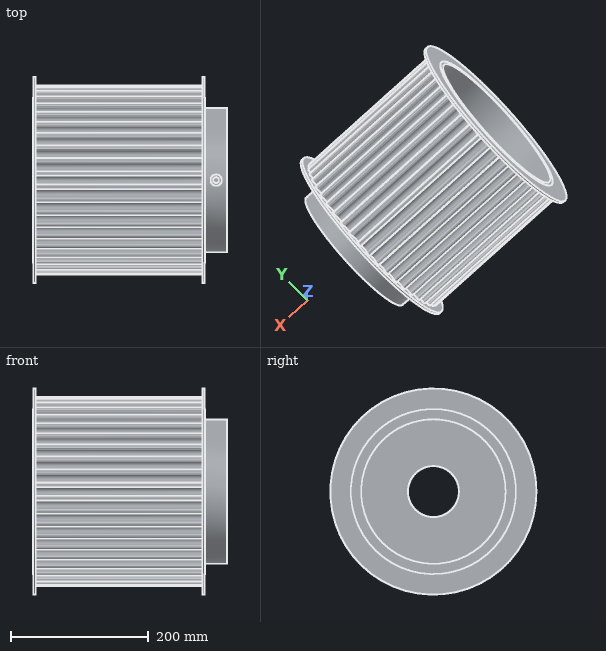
import cadquery as cq
import math

overall_length = 282.5
rim_length = 250.5
flange_thickness = 4.0
shoulder_height = 0.5
recess_depth = 65.7

flange_diameter = 300.0
tooth_tip_diameter = 275.7
shoulder_diameter = 240.0
recess_diameter = 228.5
hub_diameter = 210.0
bore_diameter = 73.8

tooth_count = 44
groove_radius = 6.3
groove_centre_distance = 135.0
tooth_tip_fillet = 1.2

screw_diameter = 16.5
socket_across_flats = 8.0
socket_depth = 8.0


def disc(start, end, diameter):
    """Solid cylinder along X between two axial positions."""
    return cq.Workplane("YZ", origin=(start, 0, 0)).circle(diameter / 2).extrude(end - start)


def belt_grooves(start, end):
    """Ring of cutters, each a U-shaped groove with rounded mouth corners."""
    tip_radius = tooth_tip_diameter / 2
    arc_centre_y = groove_radius + tooth_tip_fillet
    arc_centre_z = math.sqrt((tip_radius - tooth_tip_fillet) ** 2 - arc_centre_y ** 2)
    tip_scale = tip_radius / (tip_radius - tooth_tip_fillet)
    mouth_y = arc_centre_y * tip_scale
    mouth_z = arc_centre_z * tip_scale
    arc_mid_angle = (math.pi + math.atan2(mouth_z, mouth_y)) / 2
    arc_mid_y = arc_centre_y + tooth_tip_fillet * math.cos(arc_mid_angle)
    arc_mid_z = arc_centre_z + tooth_tip_fillet * math.sin(arc_mid_angle)
    outside_z = flange_diameter / 2

    cutter = (
        cq.Workplane("YZ", origin=(start, 0, 0))
        .moveTo(-groove_radius, groove_centre_distance)
        .threePointArc((0, groove_centre_distance - groove_radius), (groove_radius, groove_centre_distance))
        .lineTo(groove_radius, arc_centre_z)
        .threePointArc((arc_mid_y, arc_mid_z), (mouth_y, mouth_z))
        .lineTo(mouth_y, outside_z)
        .lineTo(-mouth_y, outside_z)
        .lineTo(-mouth_y, mouth_z)
        .threePointArc((-arc_mid_y, arc_mid_z), (-groove_radius, arc_centre_z))
        .close()
        .extrude(end - start)
        .val()
    )
    pitch_angle = 360 / tooth_count
    axis_start = cq.Vector(0, 0, 0)
    axis_end = cq.Vector(1, 0, 0)
    return [cutter.rotate(axis_start, axis_end, i * pitch_angle) for i in range(tooth_count)]


def toothed_rim(start, end):
    """Grooved cylinder between the two flanges."""
    blank = disc(start, end, tooth_tip_diameter)
    return cq.Workplane(blank.val().cut(*belt_grooves(start, end)))


def add_set_screw(body):
    """Add a flat screw end level with the crown of the hub, then sink its hexagon socket."""
    screw_x = (rim_length + overall_length) / 2
    socket_across_corners = socket_across_flats / math.cos(math.pi / 6)
    crown = cq.Workplane("XY", origin=(screw_x, 0, hub_diameter / 2))
    screw = crown.circle(screw_diameter / 2).extrude(-socket_depth)
    socket = (
        crown.transformed(rotate=(0, 0, 90))
        .polygon(6, socket_across_corners)
        .extrude(-socket_depth)
    )
    return body.union(screw).cut(socket)


near_flange_face = shoulder_height
far_flange_face = rim_length - shoulder_height
belt_start = near_flange_face + flange_thickness
belt_end = far_flange_face - flange_thickness

pulley = (
    toothed_rim(belt_start, belt_end)
    .union(disc(near_flange_face, belt_start, flange_diameter))
    .union(disc(belt_end, far_flange_face, flange_diameter))
    .union(disc(0, rim_length, shoulder_diameter))
    .union(disc(rim_length, overall_length, hub_diameter))
    .cut(disc(0, recess_depth, recess_diameter))
    .cut(disc(0, overall_length, bore_diameter))
)
result = add_set_screw(pulley)